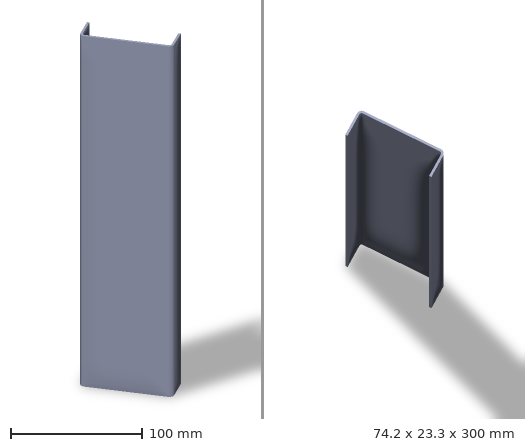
import cadquery as cq

width = 74.16
depth = 23.33
length = 300.0
sheet_thickness = 2.0
outer_bend_radius = 4.0
inner_bend_radius = outer_bend_radius - sheet_thickness


def rounded_block(block_width, front_y, bend_radius):
    """Full-length block from front_y to the flange tips, with its two front edges rounded."""
    block_depth = depth - front_y
    return (
        cq.Workplane("XY")
        .box(block_width, block_depth, length, centered=(True, False, False))
        .translate((0, front_y, 0))
        .edges("|Z and <Y")
        .fillet(bend_radius)
    )


envelope = rounded_block(width, 0, outer_bend_radius)
channel = rounded_block(width - 2 * sheet_thickness, sheet_thickness, inner_bend_radius)
result = envelope.cut(channel)